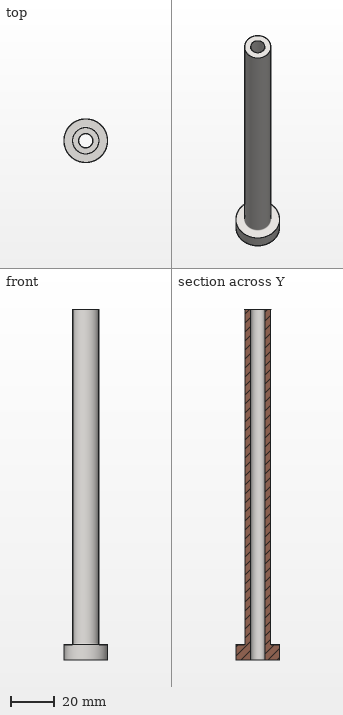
import cadquery as cq

total_length = 160.0
head_diameter = 20.0
head_height = 7.0
shaft_diameter = 12.0
bore_diameter = 6.4
neck_fillet = 0.5

head_radius = head_diameter / 2
shaft_radius = shaft_diameter / 2
bore_radius = bore_diameter / 2

half_section = (
    cq.Workplane("XZ")
    .moveTo(bore_radius, 0)
    .lineTo(head_radius, 0)
    .lineTo(head_radius, head_height)
    .lineTo(shaft_radius + neck_fillet, head_height)
    .radiusArc((shaft_radius, head_height + neck_fillet), neck_fillet)
    .lineTo(shaft_radius, total_length)
    .lineTo(bore_radius, total_length)
    .close()
)

result = half_section.revolve(360, (0, 0, 0), (0, 1, 0))